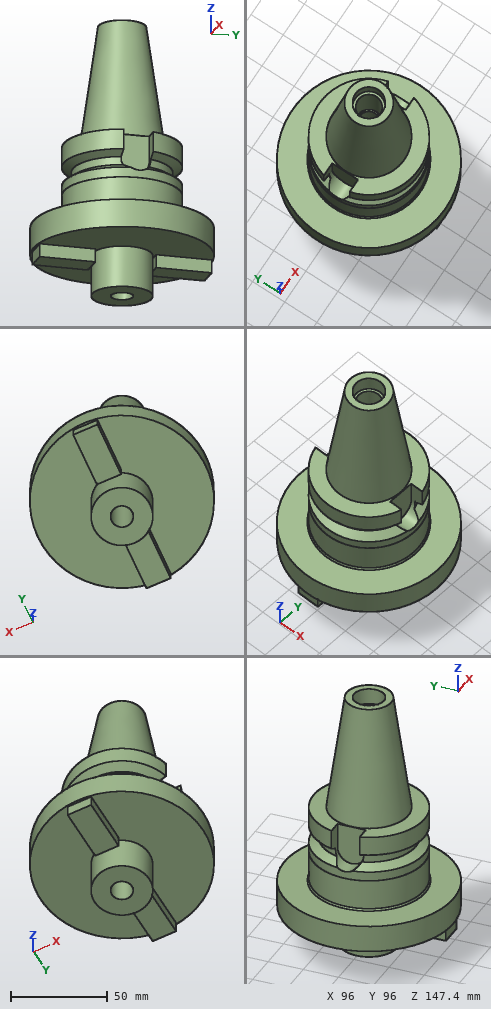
import cadquery as cq

total_height = 147.4
disc_bottom = 22.1
disc_top = 37.1
shoulder_top = 38.2
body_top = 55.0
groove_bottom = 60.3
groove_floor_bottom = 63.4
groove_floor_top = 67.8
groove_top = 70.5
collar_top = 81.2
taper_bottom = 82.1

spigot_radius = 16.0
disc_diameter = 96.0
disc_radius = disc_diameter / 2
body_radius = 31.4
collar_diameter = 63.0
collar_radius = collar_diameter / 2
shoulder_radius = 32.1
groove_diameter = 52.9
groove_radius = groove_diameter / 2
taper_large_radius = 22.3
taper_ratio = 7 / 24
taper_small_radius = taper_large_radius - (total_height - taper_bottom) * taper_ratio / 2

through_radius = 5.9
middle_radius = 7.0
counterbore_radius = 8.5
counterbore_depth = 8.8
middle_depth = 29.5

slot_width = 16.0
slot_bottom = 59.1
slot_floor_distance = 22.5

key_width = 13.9
key_height = 7.1
key_inner_distance = 16.5
key_outer_distance = 46.7


def turned_body():
    """Spigot, disc, grooved collar and taper as one revolved profile."""
    profile = [
        (0, 0),
        (spigot_radius, 0),
        (spigot_radius, disc_bottom),
        (disc_radius, disc_bottom),
        (disc_radius, disc_top),
        (shoulder_radius, disc_top),
        (body_radius, shoulder_top),
        (body_radius, body_top),
        (collar_radius, body_top),
        (collar_radius, groove_bottom),
        (groove_radius, groove_floor_bottom),
        (groove_radius, groove_floor_top),
        (collar_radius, groove_top),
        (collar_radius, collar_top),
        (taper_large_radius, collar_top),
        (taper_large_radius, taper_bottom),
        (taper_small_radius, total_height),
        (0, total_height),
    ]
    return cq.Workplane("XZ").polyline(profile).close().revolve(360, (0, 0), (0, 1))


def bore():
    """Through hole widened in two steps toward the taper end."""
    counterbore_floor = total_height - counterbore_depth
    middle_bottom = counterbore_floor - middle_depth
    profile = [
        (0, 0),
        (through_radius, 0),
        (through_radius, middle_bottom),
        (middle_radius, middle_bottom),
        (middle_radius, counterbore_floor),
        (counterbore_radius, counterbore_floor),
        (counterbore_radius, total_height),
        (0, total_height),
    ]
    return cq.Workplane("XZ").polyline(profile).close().revolve(360, (0, 0), (0, 1))


def round_bottom_slot():
    """Slot on the +X side, open outward and upward, with a half-round bottom."""
    half_width = slot_width / 2
    arc_center = slot_bottom + half_width
    return (
        cq.Workplane("YZ", origin=(slot_floor_distance, 0, 0))
        .moveTo(-half_width, collar_top)
        .lineTo(-half_width, arc_center)
        .threePointArc((0, slot_bottom), (half_width, arc_center))
        .lineTo(half_width, collar_top)
        .close()
        .extrude(shoulder_radius - slot_floor_distance)
    )


def drive_key():
    """Rectangular key on the +Y side, hanging from the underside of the disc."""
    key_length = key_outer_distance - key_inner_distance
    return (
        cq.Workplane("XY", origin=(0, key_inner_distance, disc_bottom))
        .box(key_width, key_length, key_height, centered=(True, False, False))
        .translate((0, 0, -key_height))
    )


result = turned_body().cut(bore())
for angle in (0, 180):
    result = result.cut(round_bottom_slot().rotate((0, 0, 0), (0, 0, 1), angle))
    result = result.union(drive_key().rotate((0, 0, 0), (0, 0, 1), angle))